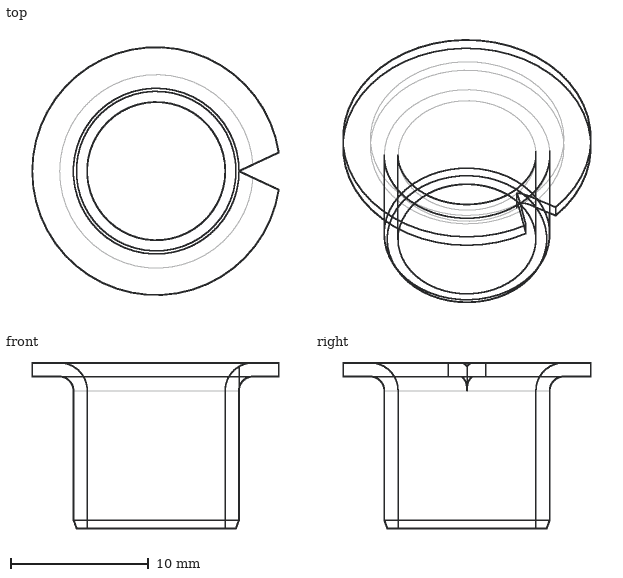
import cadquery as cq
import math

flange_diameter = 17.97
height = 12.0
wall = 1.0
bore_diameter = 10.0
chamfer_height = 0.61
chamfer_angle = 20.0
notch_angle = 50.0

flange_radius = flange_diameter / 2
bore_radius = bore_diameter / 2
sleeve_radius = bore_radius + wall
flange_bottom = height - wall
outer_bend = wall
inner_bend = outer_bend + wall
bend_r = sleeve_radius + outer_bend
bend_z = flange_bottom - outer_bend
chamfer_width = chamfer_height * math.tan(math.radians(chamfer_angle))


def bend_midpoint(radius):
    """Middle of the quarter arc facing the bore mouth, as (r, z)."""
    offset = radius * math.sqrt(0.5)
    return (bend_r - offset, bend_z + offset)


def flanged_sleeve():
    """Revolve the wall section, bent outward into the flange."""
    section = (
        cq.Workplane("XZ")
        .moveTo(bore_radius, 0)
        .lineTo(sleeve_radius - chamfer_width, 0)
        .lineTo(sleeve_radius, chamfer_height)
        .lineTo(sleeve_radius, bend_z)
        .threePointArc(bend_midpoint(outer_bend), (bend_r, flange_bottom))
        .lineTo(flange_radius, flange_bottom)
        .lineTo(flange_radius, height)
        .lineTo(bend_r, height)
        .threePointArc(bend_midpoint(inner_bend), (bore_radius, bend_z))
        .close()
    )
    return section.revolve(360, (0, 0, 0), (0, 1, 0))


def flange_notch():
    """V-shaped cutter on +X with its tip on the sleeve's outer surface."""
    reach = flange_radius
    half_width = reach * math.tan(math.radians(notch_angle / 2))
    end_x = sleeve_radius + reach
    return (
        cq.Workplane("XY")
        .polyline([(sleeve_radius, 0), (end_x, -half_width), (end_x, half_width)])
        .close()
        .extrude(height)
    )


result = flanged_sleeve().cut(flange_notch())